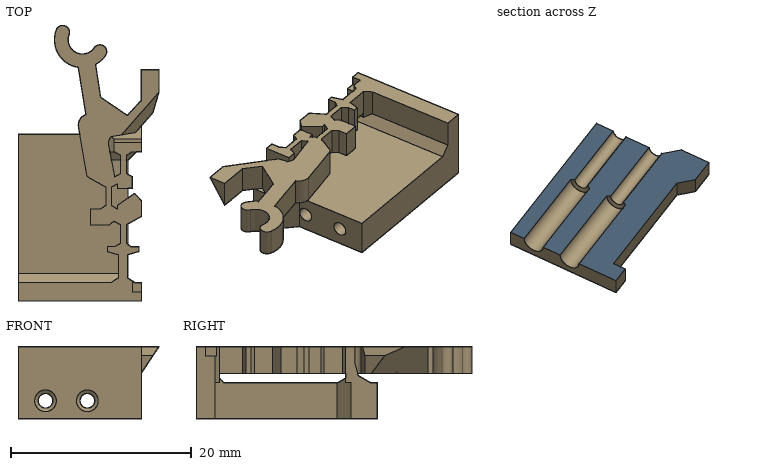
import cadquery as cq
import math

PLATE_TOP = 4.0
ARM_BOTTOM = 5.0
ARM_TOP = 8.0

BODY_WIDTH = 13.65
PLATE_RIGHT = 12.15
PLATE_BACK = 20.05
PLATE_BACK_LEFT = 18.5
BACK_STEP_X = 8.5
POST_FLARE_Y = 15.6

WALL_THICKNESS = 2.05
WALL_CHAMFER = 1.0
NOTCH = 1.02

HOLE_X = (3.0, 7.64)
HOLE_Z = 2.0
BORE_RADIUS = 1.2
BORE_DEPTH = 10.0
BORE_TIP_ANGLE = 120
PILOT_RADIUS = 0.8

LOWER_STRUT = (11.08, 12.09)
MIDDLE_STRUT = (11.33, 11.97)
UPPER_STRUT = (9.69, 10.29)
SLIDER_FRONT = 8.44
SLIDER_BACK = 10.18
STRUT_FOOT_Y = 2.57
STRUT_FOOT_FLARE = 0.83
CROSS_BAR_FRONT = 5.12
CROSS_BAR_BACK = 6.41
CROSS_BAR_END = (5.49, 6.04)
CROSS_BAR_LEFT = 9.85
CROSS_BAR_RIGHT = 13.37
SLIDER_LEFT = 8.0
STOP_LEFT = 10.97
STOP_RIGHT = 12.63
STOP_FRONT = 12.48
LEVER_ROOT_Y = 12.62
SLIDER_STRUT_Y = 10.6
END_STRUT_Y = (14.13, 16.16)

POST_LEFT = 10.59
POST_FRONT = 16.53
POST_TOP_BACK = 17.55
POST_FOOT_BACK = 17.93
POST_FOOT_Z = 4.8
FOOT_FRONT = 15.63
FOOT_SLOPE_ANGLE = 30
POST_DRAFT_ANGLE = 15

HOOK_CENTER = (7.09, 28.95)
HOOK_INNER_RADIUS = 1.57
HOOK_OUTER_RADIUS = 3.11
HOOK_START_ANGLE = -34.3
HOOK_END_ANGLE = 159.4

WING_TIP_X = 15.58
WING_INNER_X = 13.58
WING_TIP_Y = 25.64
WING_CHAMFER = 1.0
WING_ROOT = (12.98, 18.67)
CROTCH = (12.06, 20.58)
WING_OUTER_Y = 21.63


def prism(points, bottom, top):
    """Extrude a closed XY polygon between two heights."""
    return cq.Workplane("XY").workplane(offset=bottom).polyline(points).close().extrude(top - bottom)


def base_plate():
    back_step = PLATE_BACK - PLATE_BACK_LEFT
    post_flare = BODY_WIDTH - PLATE_RIGHT
    outline = [
        (0, 0),
        (PLATE_RIGHT, 0),
        (PLATE_RIGHT, POST_FLARE_Y),
        (BODY_WIDTH, POST_FLARE_Y + post_flare),
        (BODY_WIDTH, PLATE_BACK),
        (BACK_STEP_X + back_step, PLATE_BACK),
        (BACK_STEP_X, PLATE_BACK_LEFT),
        (0, PLATE_BACK_LEFT),
    ]
    return prism(outline, 0, PLATE_TOP)


def front_wall():
    wall = cq.Workplane("XY").box(BODY_WIDTH, WALL_THICKNESS, ARM_TOP, centered=False)
    chamfer_profile = [
        (WALL_THICKNESS, PLATE_TOP),
        (WALL_THICKNESS + WALL_CHAMFER, PLATE_TOP),
        (WALL_THICKNESS, PLATE_TOP + WALL_CHAMFER),
    ]
    corner = cq.Workplane("YZ").polyline(chamfer_profile).close().extrude(PLATE_RIGHT)
    return wall.union(corner)


def strut_foot():
    """Flare joining the first strut to the wall; it reaches down to the plate."""
    left, right = LOWER_STRUT
    outline = [
        (left - STRUT_FOOT_FLARE, WALL_THICKNESS),
        (right + STRUT_FOOT_FLARE, WALL_THICKNESS),
        (right, STRUT_FOOT_Y),
        (left, STRUT_FOOT_Y),
    ]
    return prism(outline, PLATE_TOP, ARM_TOP)


def wall_notch():
    corner = (BODY_WIDTH - NOTCH, WALL_THICKNESS - NOTCH, ARM_TOP - NOTCH)
    return cq.Workplane("XY").box(2 * NOTCH, 2 * NOTCH, 2 * NOTCH, centered=False).translate(corner)


def flexure():
    """Chain of struts, cross bar, slider and end cap, ending at the lever."""
    lower_left, lower_right = LOWER_STRUT
    mid_left, mid_right = MIDDLE_STRUT
    up_left, up_right = UPPER_STRUT
    bar_end_front, bar_end_back = CROSS_BAR_END
    end_strut_front, end_strut_back = END_STRUT_Y
    chain = [
        (lower_left, STRUT_FOOT_Y),
        (lower_left, CROSS_BAR_FRONT),
        (CROSS_BAR_LEFT, bar_end_front),
        (CROSS_BAR_LEFT, bar_end_back),
        (10.68, bar_end_back),
        (mid_left, CROSS_BAR_BACK),
        (mid_left, SLIDER_FRONT),
        (10.59, 8.85),
        (10.08, SLIDER_FRONT),
        (SLIDER_LEFT, SLIDER_FRONT),
        (SLIDER_LEFT, SLIDER_BACK),
        (9.05, SLIDER_BACK),
        (up_left, SLIDER_STRUT_Y),
        (up_left, LEVER_ROOT_Y),
        (up_right, LEVER_ROOT_Y),
        (up_right, SLIDER_STRUT_Y),
        (STOP_LEFT, SLIDER_BACK),
        (STOP_LEFT, SLIDER_STRUT_Y),
        (12.86, 11.93),
        (BODY_WIDTH, 11.12),
        (BODY_WIDTH, 9.38),
        (mid_right, SLIDER_FRONT),
        (mid_right, CROSS_BAR_BACK),
        (12.47, bar_end_back),
        (CROSS_BAR_RIGHT, bar_end_back),
        (CROSS_BAR_RIGHT, bar_end_front),
        (lower_right, CROSS_BAR_FRONT),
        (lower_right, STRUT_FOOT_Y),
    ]
    end_cap_strut = [
        (mid_left, end_strut_front),
        (mid_left, end_strut_back),
        (POST_LEFT, POST_FRONT),
        (12.63, POST_FRONT),
        (mid_right, end_strut_back),
        (mid_right, end_strut_front),
    ]
    return prism(chain, ARM_BOTTOM, ARM_TOP).union(prism(end_cap_strut, ARM_BOTTOM, ARM_TOP))


def lever():
    """Rigid lever between the thin struts and the hook, without the wing."""
    up_left, up_right = UPPER_STRUT
    mid_left, mid_right = MIDDLE_STRUT
    end_strut_front = END_STRUT_Y[0]
    return (
        cq.Workplane("XY").workplane(offset=ARM_BOTTOM)
        .moveTo(up_left, LEVER_ROOT_Y)
        .lineTo(7.8, 13.68)
        .lineTo(7.57, 13.91)
        .lineTo(6.63, 19.35)
        .threePointArc((6.8, 20.12), (7.46, 20.67))
        .lineTo(6.61, 25.9)
        .lineTo(7.1, 26.6)
        .lineTo(8.5, 26.6)
        .lineTo(9.12, 22.58)
        .lineTo(*CROTCH)
        .lineTo(*WING_ROOT)
        .lineTo(10.36, 18.23)
        .threePointArc((10.1, 17.97), (10.0, 17.5))
        .lineTo(10.0, 17.24)
        .lineTo(10.67, 13.77)
        .lineTo(mid_left, end_strut_front)
        .lineTo(mid_right, end_strut_front)
        .lineTo(STOP_RIGHT, 13.79)
        .lineTo(STOP_RIGHT, STOP_FRONT)
        .lineTo(STOP_LEFT, STOP_FRONT)
        .lineTo(STOP_LEFT, 12.98)
        .lineTo(up_right, LEVER_ROOT_Y)
        .close()
        .extrude(ARM_TOP - ARM_BOTTOM)
    )


def hook():
    middle = (HOOK_INNER_RADIUS + HOOK_OUTER_RADIUS) / 2
    tip_radius = (HOOK_OUTER_RADIUS - HOOK_INNER_RADIUS) / 2
    sweep_middle = (HOOK_START_ANGLE + HOOK_END_ANGLE - 360) / 2

    def polar(radius, degrees):
        angle = math.radians(degrees)
        return (HOOK_CENTER[0] + radius * math.cos(angle), HOOK_CENTER[1] + radius * math.sin(angle))

    body = (
        cq.Workplane("XY").workplane(offset=ARM_BOTTOM)
        .moveTo(*polar(HOOK_OUTER_RADIUS, HOOK_END_ANGLE))
        .threePointArc(polar(HOOK_OUTER_RADIUS, sweep_middle), polar(HOOK_OUTER_RADIUS, HOOK_START_ANGLE))
        .lineTo(*polar(HOOK_INNER_RADIUS, HOOK_START_ANGLE))
        .threePointArc(polar(HOOK_INNER_RADIUS, sweep_middle), polar(HOOK_INNER_RADIUS, HOOK_END_ANGLE))
        .close()
        .extrude(ARM_TOP - ARM_BOTTOM)
    )
    tips = (
        cq.Workplane("XY").workplane(offset=ARM_BOTTOM)
        .pushPoints([polar(middle, HOOK_START_ANGLE), polar(middle, HOOK_END_ANGLE)])
        .circle(tip_radius)
        .extrude(ARM_TOP - ARM_BOTTOM)
    )
    return body.union(tips)


def wing():
    """Wing whose outer side leans inwards as it goes down."""
    outline = [
        CROTCH,
        (WING_INNER_X, 22.22),
        (WING_INNER_X, WING_TIP_Y),
        (WING_TIP_X, WING_TIP_Y),
        (WING_TIP_X, WING_OUTER_Y),
        WING_ROOT,
    ]
    plan = prism(outline, ARM_BOTTOM, ARM_TOP)
    taper_profile = [
        (0, ARM_BOTTOM),
        (WING_INNER_X, ARM_BOTTOM),
        (WING_TIP_X, ARM_TOP),
        (0, ARM_TOP),
    ]
    taper = cq.Workplane("XZ").polyline(taper_profile).close().extrude(-WING_TIP_Y)
    return plan.intersect(taper)


def wing_chamfer():
    """Cutting prism along the wing's back top edge, running a little past the wing's root."""
    run_x = WING_TIP_X - WING_ROOT[0]
    run_y = WING_OUTER_Y - WING_ROOT[1]
    edge_plane = cq.Plane(
        origin=(*WING_ROOT, ARM_TOP),
        xDir=(-run_y, run_x, 0),
        normal=(run_x, run_y, 0),
    )
    overrun = 1.5 * WING_CHAMFER
    length = math.hypot(run_x, run_y) + 2 * overrun
    triangle = [
        (-WING_CHAMFER, WING_CHAMFER),
        (2 * WING_CHAMFER, WING_CHAMFER),
        (-WING_CHAMFER, -2 * WING_CHAMFER),
    ]
    return (
        cq.Workplane(edge_plane).workplane(offset=-overrun)
        .polyline(triangle).close().extrude(length)
    )


def sloped_foot(top_front, rise, spread):
    """Truncated pyramid on the plate, mirrored about the body's right side."""
    top_length = 2 * (BODY_WIDTH - POST_LEFT)
    top_depth = POST_FOOT_BACK - top_front
    return (
        cq.Workplane("XY").workplane(offset=PLATE_TOP)
        .center(BODY_WIDTH, (top_front + POST_FOOT_BACK) / 2)
        .rect(top_length + 2 * spread, top_depth + 2 * spread)
        .workplane(offset=rise)
        .rect(top_length, top_depth)
        .loft()
    )


def post():
    """Post with a partly drafted back face, standing on a spreading foot."""
    draft_rise = (POST_FOOT_BACK - POST_TOP_BACK) / math.tan(math.radians(POST_DRAFT_ANGLE))
    profile = [
        (POST_FRONT, PLATE_TOP),
        (POST_FOOT_BACK, PLATE_TOP),
        (POST_FOOT_BACK, POST_FOOT_Z),
        (POST_TOP_BACK, POST_FOOT_Z + draft_rise),
        (POST_TOP_BACK, ARM_TOP),
        (POST_FRONT, ARM_TOP),
    ]
    column = (
        cq.Workplane("YZ").workplane(offset=POST_LEFT)
        .polyline(profile).close().extrude(BODY_WIDTH - POST_LEFT)
    )
    rise = POST_FOOT_Z - PLATE_TOP
    spread = rise / math.tan(math.radians(FOOT_SLOPE_ANGLE))
    behind_front = cq.Workplane("XY").box(BODY_WIDTH, PLATE_BACK, ARM_TOP, centered=False)
    behind_front = behind_front.translate((0, POST_FRONT, 0))
    back_foot = sloped_foot(POST_FRONT, rise, spread).intersect(behind_front)
    front_foot = sloped_foot(FOOT_FRONT + spread, rise, spread)
    footprint = base_plate().translate((0, 0, PLATE_TOP))
    foot = back_foot.union(front_foot).intersect(footprint)
    return column.union(foot)


def screw_hole(x):
    """Bore from the front face, narrowing through a cone to a pilot that runs out of the back."""
    cone_length = (BORE_RADIUS - PILOT_RADIUS) / math.tan(math.radians(BORE_TIP_ANGLE / 2))
    half_section = [
        (0, 0),
        (BORE_RADIUS, 0),
        (BORE_RADIUS, BORE_DEPTH),
        (PILOT_RADIUS, BORE_DEPTH + cone_length),
        (PILOT_RADIUS, PLATE_BACK),
        (0, PLATE_BACK),
    ]
    hole = cq.Workplane("XY").polyline(half_section).close().revolve(360, (0, 0), (0, 1))
    return hole.translate((x, 0, HOLE_Z))


winged_lever = lever().union(wing()).cut(wing_chamfer())
arm = flexure().union(winged_lever).union(hook())
result = (
    base_plate()
    .union(front_wall())
    .union(strut_foot())
    .union(post())
    .union(arm)
    .cut(wall_notch())
)
for hole_x in HOLE_X:
    result = result.cut(screw_hole(hole_x))